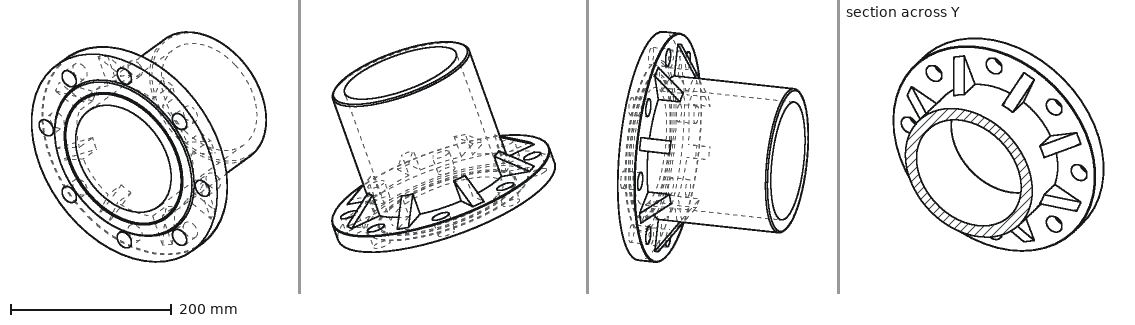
import cadquery as cq

flange_radius = 143.0
flange_thickness = 22.3
flange_chamfer = 1.0
raised_radius = 107.5
raised_height = 2.0
raised_chamfer = 2.0
flange_back = raised_height + flange_thickness

pipe_radius = 90.0
bore_radius = 73.65
pipe_length = 180.0
pipe_chamfer = 2.0

groove_outer_radius = 91.0
groove_inner_radius = 89.0
groove_depth = 2.0

hole_count = 8
bolt_circle_radius = 120.0
hole_diameter = 22.0

rib_count = 8
rib_width = 16.0
rib_height = 29.0
rib_base_radius = 129.5
rib_tip_radius = 88.7
rib_root_radius = (bore_radius + pipe_radius) / 2


def make_body():
    """Revolve the flange and pipe section about the Y axis."""
    section = [
        (bore_radius, 0),
        (groove_inner_radius, 0),
        (pipe_radius, groove_depth),
        (groove_outer_radius, 0),
        (raised_radius - raised_chamfer, 0),
        (raised_radius, raised_height),
        (flange_radius, raised_height),
        (flange_radius, flange_back - flange_chamfer),
        (flange_radius - flange_chamfer, flange_back),
        (pipe_radius, flange_back),
        (pipe_radius, pipe_length - pipe_chamfer),
        (pipe_radius - pipe_chamfer, pipe_length),
        (bore_radius, pipe_length),
    ]
    return cq.Workplane("XY").polyline(section).close().revolve(360, (0, 0), (0, 1))


def make_rib(angle):
    """Build one rib, turned about the Y axis by the angle in degrees."""
    rib_top = flange_back + rib_height
    outline = [
        (rib_root_radius, raised_height),
        (rib_base_radius, raised_height),
        (rib_base_radius, flange_back),
        (rib_tip_radius, rib_top),
        (rib_root_radius, rib_top),
    ]
    rib = cq.Workplane("XY").polyline(outline).close().extrude(rib_width / 2, both=True)
    return rib.rotate((0, 0, 0), (0, 1, 0), angle)


def make_bolt_holes():
    """Build the cylinders that cut the bolt holes through the flange."""
    return (
        cq.Workplane("XZ")
        .polarArray(bolt_circle_radius, 0, 360, hole_count)
        .circle(hole_diameter / 2)
        .extrude(-flange_back)
    )


result = make_body()
rib_pitch = 360 / rib_count
for index in range(rib_count):
    result = result.union(make_rib((index + 0.5) * rib_pitch))
result = result.cut(make_bolt_holes())